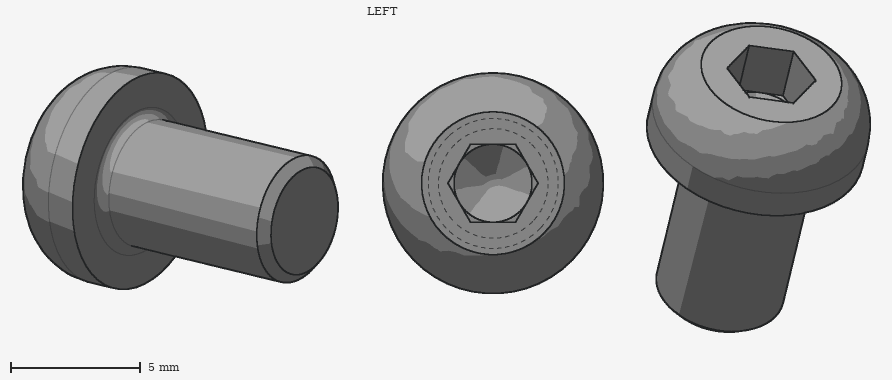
import cadquery as cq
import math

total_length = 11.5
head_diameter = 8.5
head_length = 3.5
dome_length = 2.31
face_diameter = 5.5
shank_diameter = 5.0
neck_fillet = 0.4
tip_chamfer = 0.39
socket_across_flats = 3.0
socket_depth = 2.3
socket_tip_angle = 120

head_radius = head_diameter / 2
face_radius = face_diameter / 2
shank_radius = shank_diameter / 2

dome_rise = head_radius - face_radius
dome_radius = (dome_length**2 + dome_rise**2) / (2 * dome_rise)
dome_center_height = head_radius - dome_radius
dome_start_angle = math.atan2(face_radius - dome_center_height, -dome_length)
dome_mid_angle = (dome_start_angle + math.pi / 2) / 2
dome_midpoint = (
    dome_length + dome_radius * math.cos(dome_mid_angle),
    dome_center_height + dome_radius * math.sin(dome_mid_angle),
)


def make_body():
    """Revolve the half profile of head, neck fillet and shank about X."""
    fillet_offset = neck_fillet * (1 - math.sqrt(0.5))
    neck_midpoint = (head_length + fillet_offset, shank_radius + fillet_offset)
    return (
        cq.Workplane("XZ")
        .lineTo(0, face_radius)
        .threePointArc(dome_midpoint, (dome_length, head_radius))
        .lineTo(head_length, head_radius)
        .lineTo(head_length, shank_radius + neck_fillet)
        .threePointArc(neck_midpoint, (head_length + neck_fillet, shank_radius))
        .lineTo(total_length - tip_chamfer, shank_radius)
        .lineTo(total_length, shank_radius - tip_chamfer)
        .lineTo(total_length, 0)
        .close()
        .revolve(360, (0, 0, 0), (1, 0, 0))
    )


def make_socket():
    """Hexagonal recess with two corners on Y and a conical bottom."""
    across_corners = socket_across_flats / math.cos(math.pi / 6)
    hexagon = cq.Workplane("YZ").polygon(6, across_corners).extrude(socket_depth)
    cone_radius = socket_across_flats / 2
    cone_depth = cone_radius / math.tan(math.radians(socket_tip_angle / 2))
    cone = cq.Workplane(
        cq.Solid.makeCone(
            cone_radius, 0, cone_depth, cq.Vector(socket_depth, 0, 0), cq.Vector(1, 0, 0)
        )
    )
    return hexagon.union(cone)


result = make_body().cut(make_socket())